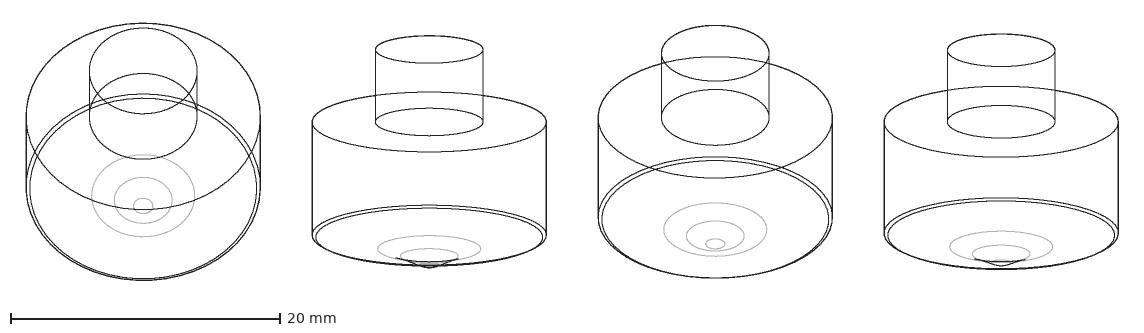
import cadquery as cq
import math

body_radius = 8.7
pin_radius = 4.0
total_height = 16.7
shoulder_z = 11.14

body_bottom_z = 2.45
bevel_width = 0.28
bevel_height = 0.15
cone_angle = math.radians(11.0)
point_angle = math.radians(25.6)
tip_radius = 1.65
blend_radius = 6.96


def on_circle(center, radius, angle):
    """Point on a circle at an angle from +Z towards -X; a negative radius gives the opposite point."""
    return (
        center[0] - radius * math.sin(angle),
        center[1] + radius * math.cos(angle),
    )


tip_center = (0.0, tip_radius)
tip_middle = on_circle(tip_center, -tip_radius, point_angle / 2)
tip_end = on_circle(tip_center, -tip_radius, point_angle)

bevel_end = (body_radius - bevel_width, body_bottom_z - bevel_height)
cone_slope = math.tan(cone_angle)
point_slope = math.tan(point_angle)
cone_axis_z = bevel_end[1] - cone_slope * bevel_end[0]
point_axis_z = tip_end[1] - point_slope * tip_end[0]
corner_r = (cone_axis_z - point_axis_z) / (point_slope - cone_slope)
corner_z = cone_axis_z + cone_slope * corner_r

tangent_length = blend_radius * math.tan((point_angle - cone_angle) / 2)
blend_start = (
    corner_r - tangent_length * math.cos(point_angle),
    corner_z - tangent_length * math.sin(point_angle),
)
blend_center = (
    blend_start[0] + blend_radius * math.sin(point_angle),
    blend_start[1] - blend_radius * math.cos(point_angle),
)
blend_middle = on_circle(blend_center, blend_radius, (point_angle + cone_angle) / 2)
blend_end = on_circle(blend_center, blend_radius, cone_angle)

profile = (
    cq.Workplane("XZ")
    .moveTo(0, 0)
    .threePointArc(tip_middle, tip_end)
    .lineTo(*blend_start)
    .threePointArc(blend_middle, blend_end)
    .lineTo(*bevel_end)
    .lineTo(body_radius, body_bottom_z)
    .lineTo(body_radius, shoulder_z)
    .lineTo(pin_radius, shoulder_z)
    .lineTo(pin_radius, total_height)
    .lineTo(0, total_height)
    .close()
)
result = profile.revolve(360, (0, 0, 0), (0, 1, 0))